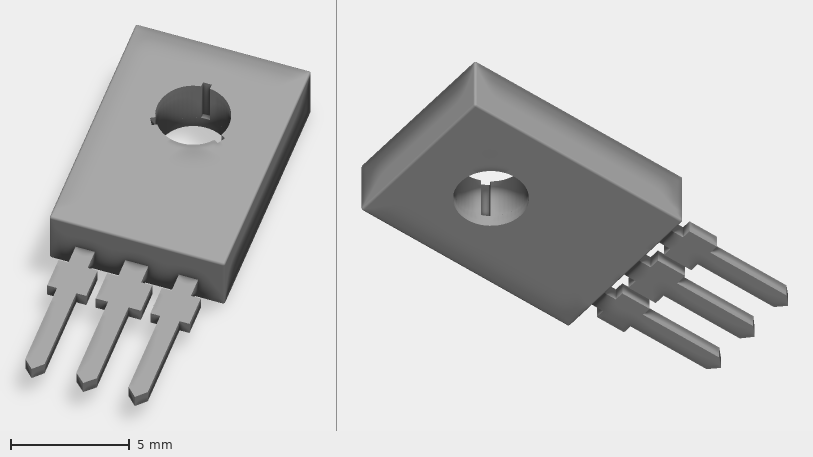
import cadquery as cq

overall_length = 17.95
case_width = 7.8
case_height = 2.7
case_length = 11.1
case_edge_radius = 0.1

base_height = 0.6

hole_diameter = 3.2
hole_center_y = 7.2
notch_count = 3
first_notch_angle = 90.0
notch_width = 0.4
notch_reach = 1.81

lead_pitch = 2.3
lead_thickness = 0.61
shoulder_start = 0.92
shoulder_length = 1.45
tip_length = 0.43

outer_lead_width = 0.86
outer_shoulder_width = 1.75

center_root_width = 1.02
center_shoulder_width = 2.01
center_lead_width = 0.92

cap_height = case_height - base_height
lead_length = overall_length - case_length
notch_step = 360.0 / notch_count


def case_block(bottom_z, height, flat_face):
    """Block over the case outline, rounded on its corners and around one flat face."""
    return (
        cq.Workplane("XY", origin=(0, case_length / 2, bottom_z))
        .box(case_width, case_length, height, centered=(True, True, False))
        .edges("|Z or " + flat_face)
        .fillet(case_edge_radius)
    )


def hole_cutter():
    """Cylinder of the mounting hole, through the full case height."""
    return cq.Workplane("XY").center(0, hole_center_y).circle(hole_diameter / 2).extrude(case_height)


def make_base():
    """Flat plate that closes the case below the level of the leads."""
    return case_block(0, base_height, "<Z").cut(hole_cutter())


def make_cap():
    """Upper part of the case; notches beside the hole stop on the base."""
    cap = case_block(base_height, cap_height, ">Z").cut(hole_cutter())
    for index in range(notch_count):
        notch = (
            cq.Workplane("XY", origin=(0, 0, base_height))
            .rect(notch_reach, notch_width)
            .extrude(cap_height)
            .translate((notch_reach / 2, 0, 0))
            .rotate((0, 0, 0), (0, 0, 1), first_notch_angle + index * notch_step)
            .translate((0, hole_center_y, 0))
        )
        cap = cap.cut(notch)
    return cap


def make_lead(center_x, root_width, shoulder_width, lead_width):
    """Flat pointed lead with a wide shoulder, its underside level with the base top."""
    shoulder_end = shoulder_start + shoulder_length
    right_side = [
        (root_width / 2, 0),
        (root_width / 2, -shoulder_start),
        (shoulder_width / 2, -shoulder_start),
        (shoulder_width / 2, -shoulder_end),
        (lead_width / 2, -shoulder_end),
        (lead_width / 2, -(lead_length - tip_length)),
    ]
    left_side = [(-x, y) for x, y in reversed(right_side)]
    return (
        cq.Workplane("XY", origin=(center_x, 0, base_height))
        .polyline(right_side + [(0, -lead_length)] + left_side)
        .close()
        .extrude(lead_thickness)
    )


base = make_base()
cap = make_cap()
center_lead = make_lead(0, center_root_width, center_shoulder_width, center_lead_width)
outer_leads = [
    make_lead(center_x, outer_lead_width, outer_shoulder_width, outer_lead_width)
    for center_x in (-lead_pitch, lead_pitch)
]

result = cq.Compound.makeCompound(
    [base.val(), cap.val(), center_lead.val(), *[lead.val() for lead in outer_leads]]
)